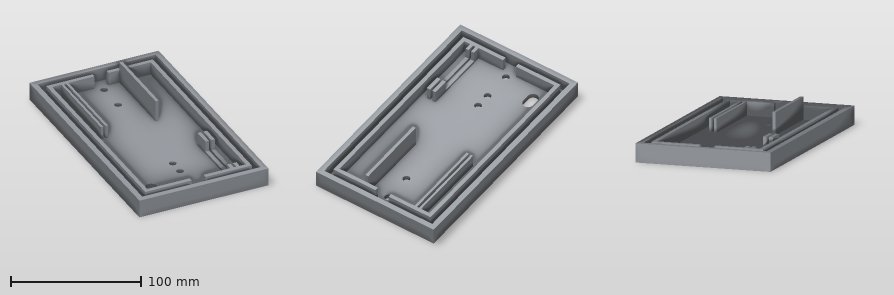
import cadquery as cq

LENGTH = 194.2
WIDTH = 110.0
BODY_HEIGHT = 15.0
FLOOR = 4.0
OUTER_WALL = 4.6

RIM_INNER_LENGTH = 168.0
RIM_INNER_WIDTH = 84.0
RIM_WALL = 3.4
RIM_GAP = 12.0
rim_outer_length = RIM_INNER_LENGTH + 2 * RIM_WALL
rim_outer_width = RIM_INNER_WIDTH + 2 * RIM_WALL
rim_left = -RIM_INNER_LENGTH / 2
rim_right = RIM_INNER_LENGTH / 2
rim_height = BODY_HEIGHT - FLOOR

TALL_RIB_TOP = 22.0
TALL_RIB_LENGTH = 64.0
TALL_RIB_THICKNESS = 2.6
TALL_RIB_Y = 16.6

LEFT_RAIL_LENGTH = 70.0
LEFT_RAIL_THICKNESS = 2.0
LEFT_RAIL_SPACE = 2.0
LEFT_RAILS_Y = -31.2

RIGHT_RAIL_LENGTH = 58.0
RIGHT_RAIL_THICKNESS = 3.0
RIGHT_RAIL_SPACE = 2.0
RIGHT_RAILS_Y = 32.8
LOW_RAIL_LENGTH = 38.0
LOW_RAIL_END_OFFSET = 6.0
LOW_RAIL_HEIGHT = 2.0

HOLE_DIAMETER = 6.0
HOLE_XS = (-79.2, -54.6, 41.8, 54.6, 79.2)
SLOT_LENGTH = 15.5
SLOT_WIDTH = 9.0
SLOT_X = 69.2
SLOT_Y = -30.0


def block(x_min, x_max, y_center, thickness, z_min, z_max):
    """Box between two X positions and two heights, centred on y_center."""
    return (
        cq.Workplane("XY", origin=((x_min + x_max) / 2, y_center, z_min))
        .box(x_max - x_min, thickness, z_max - z_min, centered=(True, True, False))
    )


def pair_ys(y_center, thickness, space):
    """Centre lines of two parallel rails separated by a clear space."""
    offset = (thickness + space) / 2
    return (y_center - offset, y_center + offset)


def make_tray():
    body = block(-LENGTH / 2, LENGTH / 2, 0, WIDTH, 0, BODY_HEIGHT)
    cavity_half_length = LENGTH / 2 - OUTER_WALL
    cavity_width = WIDTH - 2 * OUTER_WALL
    return body.cut(block(-cavity_half_length, cavity_half_length, 0, cavity_width, FLOOR, BODY_HEIGHT))


def make_rim():
    rim = (
        cq.Workplane("XY", origin=(0, 0, FLOOR))
        .rect(rim_outer_length, rim_outer_width)
        .rect(RIM_INNER_LENGTH, RIM_INNER_WIDTH)
        .extrude(rim_height)
    )
    return rim.cut(block(-LENGTH / 2, LENGTH / 2, 0, RIM_GAP, FLOOR, BODY_HEIGHT))


def make_tall_rib():
    return block(
        rim_left, rim_left + TALL_RIB_LENGTH, TALL_RIB_Y, TALL_RIB_THICKNESS, FLOOR, TALL_RIB_TOP
    )


def make_left_rail(y_center):
    return block(
        rim_left, rim_left + LEFT_RAIL_LENGTH, y_center, LEFT_RAIL_THICKNESS, FLOOR, BODY_HEIGHT
    )


def make_right_rail(y_center):
    rail = block(
        rim_right - RIGHT_RAIL_LENGTH, rim_right, y_center, RIGHT_RAIL_THICKNESS, FLOOR, BODY_HEIGHT
    )
    low_end = rim_right - LOW_RAIL_END_OFFSET
    low_start = low_end - LOW_RAIL_LENGTH
    low_top = FLOOR + LOW_RAIL_HEIGHT
    return rail.cut(block(low_start, low_end, y_center, RIGHT_RAIL_THICKNESS, low_top, BODY_HEIGHT))


def make_floor_openings():
    holes = (
        cq.Workplane("XY")
        .pushPoints([(x, 0) for x in HOLE_XS])
        .circle(HOLE_DIAMETER / 2)
        .extrude(FLOOR)
    )
    slot = cq.Workplane("XY").center(SLOT_X, SLOT_Y).slot2D(SLOT_LENGTH, SLOT_WIDTH).extrude(FLOOR)
    return holes.union(slot)


result = make_tray().union(make_rim()).union(make_tall_rib())
for rail_y in pair_ys(LEFT_RAILS_Y, LEFT_RAIL_THICKNESS, LEFT_RAIL_SPACE):
    result = result.union(make_left_rail(rail_y))
for rail_y in pair_ys(RIGHT_RAILS_Y, RIGHT_RAIL_THICKNESS, RIGHT_RAIL_SPACE):
    result = result.union(make_right_rail(rail_y))
result = result.cut(make_floor_openings())